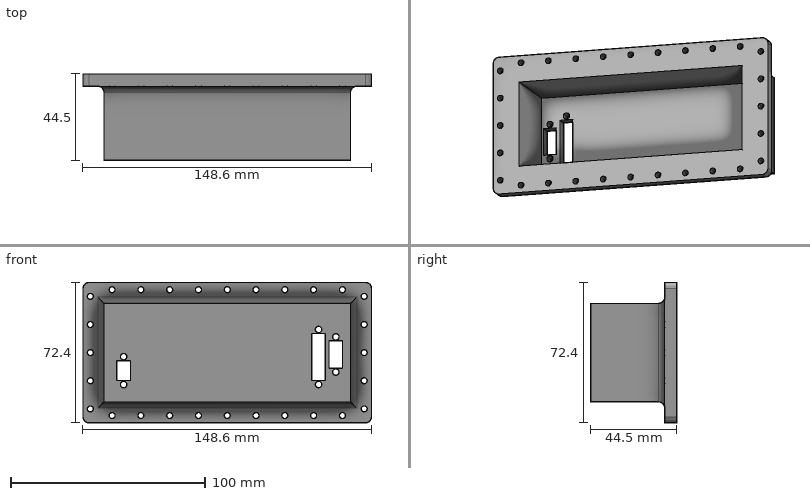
import cadquery as cq

FLANGE_LENGTH = 148.59
FLANGE_HEIGHT = 72.39
FLANGE_THICKNESS = 6.35
FLANGE_CORNER_RADIUS = FLANGE_THICKNESS / 2

TOTAL_DEPTH = 44.45
BOX_LENGTH = 127.0
BOX_HEIGHT = 50.8
BLEND_RADIUS = 3.175

FRONT_WALL = 6.35
SIDE_WALL = 3.175

BOLT_HOLE_DIAMETER = 2.95
BOLT_EDGE_DISTANCE = 3.81
BOLTS_PER_LONG_EDGE = 9
BOLTS_PER_SHORT_EDGE = 5
LONG_EDGE_PITCH = 14.82
SHORT_EDGE_PITCH = FLANGE_HEIGHT / BOLTS_PER_SHORT_EDGE

WINDOW_WIDTH = 6.86
SCREW_HOLE_DIAMETER = 3.2
CONNECTORS = [
    (-53.34, -9.25, 10.0, 14.35),
    (46.99, -2.25, 24.13, 28.32),
    (55.88, -0.95, 13.97, 18.16),
]


def rear_plane():
    """Workplane on the rear face: local x is X, local y is Z, extrusions run toward -Y."""
    return cq.Workplane("XZ")


def make_flange():
    flange = rear_plane().rect(FLANGE_LENGTH, FLANGE_HEIGHT).extrude(FLANGE_THICKNESS)
    return flange.edges("|Y").fillet(FLANGE_CORNER_RADIUS)


def make_body():
    """Flange and solid box joined, with a concave blend where they meet."""
    box = rear_plane().rect(BOX_LENGTH, BOX_HEIGHT).extrude(TOTAL_DEPTH)
    body = make_flange().union(box)
    reach_x = BOX_LENGTH / 2 + BLEND_RADIUS
    reach_z = BOX_HEIGHT / 2 + BLEND_RADIUS
    joint_edges = cq.selectors.BoxSelector(
        (-reach_x, -FLANGE_THICKNESS - BLEND_RADIUS, -reach_z),
        (reach_x, -FLANGE_THICKNESS + BLEND_RADIUS, reach_z),
    )
    return body.edges(joint_edges).fillet(BLEND_RADIUS)


def make_cavity():
    cavity_length = BOX_LENGTH - 2 * SIDE_WALL
    cavity_height = BOX_HEIGHT - 2 * SIDE_WALL
    return rear_plane().rect(cavity_length, cavity_height).extrude(TOTAL_DEPTH - FRONT_WALL)


def centred_row(count, pitch):
    """Evenly spaced coordinates, symmetric about zero."""
    return [(i - (count - 1) / 2) * pitch for i in range(count)]


def make_bolt_holes():
    row_z = FLANGE_HEIGHT / 2 - BOLT_EDGE_DISTANCE
    column_x = FLANGE_LENGTH / 2 - BOLT_EDGE_DISTANCE
    positions = []
    for side in (-1, 1):
        positions += [(x, side * row_z) for x in centred_row(BOLTS_PER_LONG_EDGE, LONG_EDGE_PITCH)]
        positions += [(side * column_x, z) for z in centred_row(BOLTS_PER_SHORT_EDGE, SHORT_EDGE_PITCH)]
    return rear_plane().pushPoints(positions).circle(BOLT_HOLE_DIAMETER / 2).extrude(FLANGE_THICKNESS)


def make_connector_opening(x, z, window_height, screw_spacing):
    """Cutter for one connector; it passes through the front wall into the cavity."""
    centre = rear_plane().center(x, z)
    window = centre.rect(WINDOW_WIDTH, window_height).extrude(TOTAL_DEPTH)
    screw_points = [(x, z - screw_spacing / 2), (x, z + screw_spacing / 2)]
    screws = rear_plane().pushPoints(screw_points).circle(SCREW_HOLE_DIAMETER / 2).extrude(TOTAL_DEPTH)
    return window.union(screws)


result = make_body().cut(make_cavity()).cut(make_bolt_holes())
for connector in CONNECTORS:
    result = result.cut(make_connector_opening(*connector))